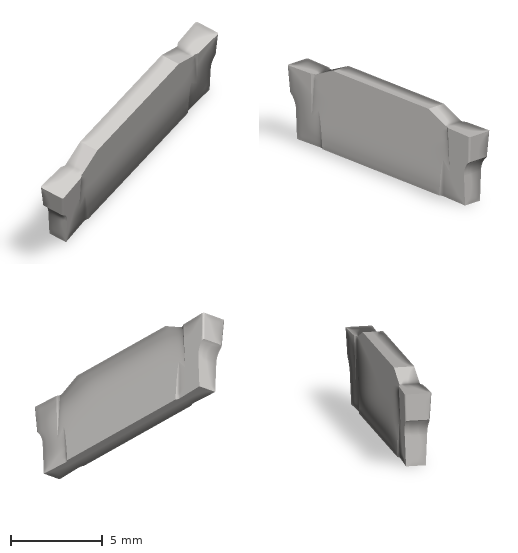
import cadquery as cq
import math

length = 14.76
head_width = 1.5
height = 4.81
core_half_width = 0.568

head_top = 4.2
tip_y = length / 2
relief_foot_y = 7.26
relief_foot_z = 2.69
end_wall_y = 6.79
end_wall_top = 1.77
blend_start_y = 5.28
ramp_foot_y = 5.15
ramp_top_y = 3.85
tip_corner_radius = 0.1

flank_taper = 0.043
sharp_half_width = head_width / 2 + flank_taper * tip_corner_radius

shoulder_top_y = 5.35
shoulder_lean = 0.087
shoulder_slope = 0.56

runout_tangent_y = 4.96
runout_lean = 0.033
runout_radius = 0.35

inner_y = 3.69
outer_y = tip_y + 0.15


def flank_half_width(y, z):
    return sharp_half_width - flank_taper * (tip_y - y + head_top - z)


def shoulder_half_width(y, z):
    foot_y = shoulder_top_y + shoulder_lean * (head_top - z)
    return core_half_width + shoulder_slope * (y - foot_y)


def tapered_block(half_width, start_y, end_y):
    """Block with planar sides whose half width varies linearly with Y and Z."""

    def section(z):
        start = half_width(start_y, z)
        end = half_width(end_y, z)
        corners = [(-start, start_y), (start, start_y), (end, end_y), (-end, end_y)]
        return cq.Wire.makePolygon([cq.Vector(x, y, z) for x, y in corners], close=True)

    return cq.Workplane(cq.Solid.makeLoft([section(0), section(height)], True))


def profile_slab(width):
    """Half of the lengthwise outline, extruded across X."""
    run = relief_foot_y - end_wall_y
    rise = relief_foot_z - end_wall_top
    arc_radius = (run**2 + rise**2) / (2 * run)
    half_sweep = math.asin(rise / arc_radius) / 2
    arc_mid = (
        end_wall_y + arc_radius * (1 - math.cos(half_sweep)),
        end_wall_top + arc_radius * math.sin(half_sweep),
    )
    ramp_angle = math.atan((height - head_top) / (ramp_foot_y - ramp_top_y))
    blend_rise = (blend_start_y - ramp_foot_y) * math.tan(ramp_angle / 2)
    return (
        cq.Workplane("YZ")
        .lineTo(end_wall_y, 0)
        .lineTo(end_wall_y, end_wall_top)
        .threePointArc(arc_mid, (relief_foot_y, relief_foot_z))
        .lineTo(tip_y, head_top)
        .lineTo(blend_start_y, head_top)
        .tangentArcPoint((ramp_foot_y, head_top + blend_rise), relative=False)
        .lineTo(ramp_top_y, height)
        .lineTo(0, height)
        .close()
        .extrude(width / 2, both=True)
    )


flank_block = tapered_block(flank_half_width, inner_y, outer_y)


def make_head():
    shoulder_start_y = shoulder_top_y + shoulder_lean * head_top - core_half_width / shoulder_slope + 0.15
    shoulder_block = tapered_block(shoulder_half_width, shoulder_start_y, outer_y)
    head = profile_slab(2 * sharp_half_width).intersect(flank_block).intersect(shoulder_block)
    tip_corners = cq.selectors.BoxSelector(
        (-head_width, relief_foot_y, relief_foot_z),
        (head_width, outer_y, head_top - 0.15),
    )
    return head.edges("not(#Z)").edges(tip_corners).edges("not(|X)").fillet(tip_corner_radius)


def make_core():
    start_y = runout_tangent_y - runout_radius
    waste = (
        cq.Workplane("YZ")
        .polyline([
            (start_y, 0),
            (outer_y, 0),
            (outer_y, height),
            (start_y + runout_lean * height, height),
        ])
        .close()
        .extrude(head_width, both=True)
        .cut(flank_block)
    )
    inner_edges = cq.selectors.BoxSelector(
        (-head_width / 2, inner_y, height / 4),
        (head_width / 2, runout_tangent_y, height * 3 / 4),
    )
    waste = waste.edges(inner_edges).fillet(runout_radius)
    return profile_slab(2 * core_half_width).cut(waste)


half = make_core().union(make_head())
result = half.union(half.mirror("XZ"))